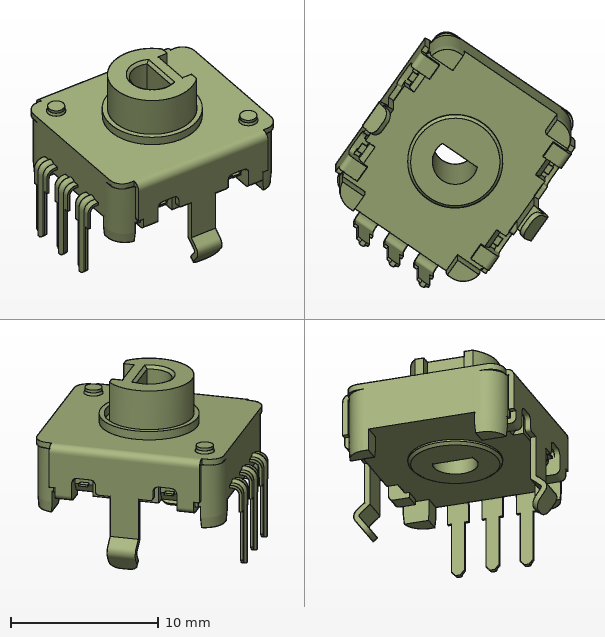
import cadquery as cq
import math


case_half_x = 5.71
case_half_y = 6.61
case_corner_radius = 1.5
case_bottom_z = -3.5
bottom_boss_radius = 3.23
bottom_boss_height = 0.33
bottom_boss_chamfer = 0.2

foot_inner_x = 3.83
foot_inner_y = 5.25
foot_taper_z = -4.3
foot_bottom_z = -5.05
foot_taper_inset = 0.05

plate_half_x = 5.63
plate_corner_radius = 1.0
plate_thickness = 0.43
sheet_thickness = 0.4
wall_outer_x = 6.21
wall_inner_x = wall_outer_x - sheet_thickness
wall_half_length = 5.32
wall_bend_radius = 0.54
wall_end_z = -3.02
wall_middle_z = -3.22
wall_corner_radius = 0.2

hook_outer_y = 4.9
hook_inner_y = 3.72
hook_bottom_z = case_bottom_z - sheet_thickness
hook_tip_x = 4.7
hook_bend_radius = 0.38
window_inner_y = 2.02
window_top_z = -2.17
window_radius = 0.43

pocket_inner_y = 2.32
pocket_back_x = 5.4
pocket_ramp_z = -2.86
pocket_ramp_depth = 0.37
nub_height = 0.14
nub_depth = wall_inner_x - pocket_back_x
nub_width = 0.63

leg_half_width = 1.0
leg_outward_slope = math.radians(40)
leg_inward_slope = math.radians(54)
leg_bend_radius = 0.57
leg_reach_x = 7.0
leg_bend_z = -7.07
leg_tip_z = -8.45
leg_tip_radius = 0.71

rivet_x = 4.12
rivet_y = 5.1
rivet_base_radius = 0.65
rivet_top_radius = 0.58
rivet_flare_height = 0.2
rivet_height = 0.4

collar_radius = 3.4
collar_height = 0.61
shaft_radius = 3.05
shaft_top_z = 3.43
shaft_flat_y = 2.22
slot_half_width = 1.47
slot_floor_y = 1.48
spigot_radius = 2.5
bore_radius = 1.55
bore_flat_y = 0.55
bore_chamfer = 0.21
bore_chamfer_angle = 45

pin_pitch = 2.5
pin_thickness = 0.2
pin_wide_width = 1.51
pin_narrow_width = 0.94
pin_shoulder_z = -4.59
pin_bottom_z = -8.52
pin_tip_height = 0.31
pin_tip_width = 0.37
pin_front_y = -7.48
pin_top_z = -2.71
pin_bend_radius = 0.65
pin_root_y = -6.27
rib_half_width = 0.3
rib_height = 0.15


def block(x_range, y_range, z_range):
    """Axis-aligned box between the given limits."""
    sizes = [high - low for low, high in (x_range, y_range, z_range)]
    corner = (x_range[0], y_range[0], z_range[0])
    return cq.Workplane("XY").box(*sizes, centered=False).translate(corner)


def disc(radius, bottom_z, top_z):
    return cq.Workplane("XY").workplane(offset=bottom_z).circle(radius).extrude(top_z - bottom_z)


def rounded_slab(half_x, half_y, radius, bottom_z, top_z):
    slab = block((-half_x, half_x), (-half_y, half_y), (bottom_z, top_z))
    return slab.edges("|Z").fillet(radius)


def with_mirror(solid, plane):
    return solid.union(solid.mirror(plane))


def make_foot():
    """Foot in the +X +Y corner, following the rounded case corner and drafted near its tip."""
    center_x = case_half_x - case_corner_radius
    center_y = case_half_y - case_corner_radius
    diagonal = math.sqrt(0.5)
    arc_middle = (
        center_x + case_corner_radius * diagonal,
        center_y + case_corner_radius * diagonal,
    )
    rise = foot_inner_y - center_y
    arc_end_x = center_x + math.sqrt(case_corner_radius ** 2 - rise ** 2)

    def outline(z):
        return (
            cq.Workplane("XY").workplane(offset=z)
            .moveTo(arc_end_x, foot_inner_y)
            .threePointArc(arc_middle, (center_x, case_half_y))
            .lineTo(foot_inner_x, case_half_y)
            .lineTo(foot_inner_x, foot_inner_y)
            .close()
        )

    tip_height = foot_taper_z - foot_bottom_z
    draft = math.degrees(math.atan(foot_taper_inset / tip_height))
    straight = outline(foot_taper_z).extrude(case_bottom_z - foot_taper_z)
    tip = outline(foot_taper_z).extrude(-tip_height, taper=draft)
    return straight.union(tip)


def make_case_pocket():
    """Pocket in the +X side with an undercut ramp and a small nub at the top of the ramp."""
    mouth_x = wall_inner_x
    ramp_end_x = pocket_back_x - pocket_ramp_depth
    width = hook_inner_y - pocket_inner_y
    pocket = (
        cq.Workplane("XZ", origin=(0, hook_inner_y, 0))
        .polyline([
            (mouth_x, window_top_z),
            (pocket_back_x, window_top_z),
            (pocket_back_x, pocket_ramp_z),
            (ramp_end_x, case_bottom_z),
            (mouth_x, case_bottom_z),
        ])
        .close()
        .extrude(width)
    )
    nub_center_y = (hook_inner_y + pocket_inner_y) / 2
    nub = block(
        (pocket_back_x, pocket_back_x + nub_depth),
        (nub_center_y - nub_width / 2, nub_center_y + nub_width / 2),
        (pocket_ramp_z, pocket_ramp_z + nub_height),
    )
    return pocket.cut(nub)


def make_case():
    body = rounded_slab(case_half_x, case_half_y, case_corner_radius, case_bottom_z, -plate_thickness)
    flat_half_length = case_half_y - case_corner_radius
    flats = block(
        (-wall_inner_x, wall_inner_x),
        (-flat_half_length, flat_half_length),
        (case_bottom_z, -plate_thickness),
    )
    boss = disc(bottom_boss_radius, case_bottom_z - bottom_boss_height, case_bottom_z)
    boss = boss.faces("<Z").chamfer(bottom_boss_chamfer)
    feet = with_mirror(with_mirror(make_foot(), "YZ"), "XZ")
    pockets = with_mirror(with_mirror(make_case_pocket(), "YZ"), "XZ")
    return body.union(flats).union(boss).union(feet).cut(pockets)


def make_cover_wall():
    """Side wall on +X, bent down from the plate, with its windows, raised ends and hooks."""
    bend = block(
        (plate_half_x - wall_bend_radius, wall_outer_x),
        (-wall_half_length, wall_half_length),
        (case_bottom_z, 0),
    )
    bend = bend.edges(">X and >Z").fillet(wall_bend_radius)
    hollow = block((0, wall_inner_x), (-case_half_y, case_half_y), (case_bottom_z, -plate_thickness))
    wall = bend.cut(hollow)

    across = (wall_inner_x, wall_outer_x)
    window = block(across, (window_inner_y, hook_inner_y), (hook_bottom_z, window_top_z))
    window = window.edges("|X and >Z").fillet(window_radius)
    raised_middle = block(across, (0, window_inner_y), (hook_bottom_z, wall_middle_z))
    raised_end = block(across, (hook_outer_y, wall_half_length), (hook_bottom_z, wall_end_z))
    openings = window.union(raised_middle).union(raised_end)
    wall = wall.cut(with_mirror(openings, "XZ"))
    for side in (-1, 1):
        corner = cq.selectors.NearestToPointSelector(
            (wall_outer_x - sheet_thickness / 2, side * window_inner_y, wall_middle_z)
        )
        wall = wall.edges(corner).fillet(wall_corner_radius)

    hook = block((hook_tip_x, wall_outer_x), (hook_inner_y, hook_outer_y), (hook_bottom_z, case_bottom_z))
    hook = hook.edges(">X and <Z").fillet(hook_bend_radius)
    return wall.union(with_mirror(hook, "XZ"))


def make_snap_leg():
    """Leg on +X: straight down, kicked outward, then turned back inward to a rounded tip."""
    bend_x = leg_reach_x - leg_bend_radius
    inner_radius = leg_bend_radius - sheet_thickness
    start_angle = math.pi / 2 - leg_outward_slope
    end_angle = leg_inward_slope - math.pi / 2

    def bend_point(radius, angle):
        return (bend_x + radius * math.cos(angle), leg_bend_z + radius * math.sin(angle))

    def kick_z(wall_x, radius):
        """Height at which the outward slope leaves the vertical face at wall_x."""
        x, z = bend_point(radius, start_angle)
        return z + (x - wall_x) * math.tan(leg_outward_slope)

    outer_end_x, outer_end_z = bend_point(leg_bend_radius, end_angle)
    tail_length = (outer_end_z - leg_tip_z) / math.sin(leg_inward_slope)

    def tip_point(radius):
        x, z = bend_point(radius, end_angle)
        return (
            x - tail_length * math.cos(leg_inward_slope),
            z - tail_length * math.sin(leg_inward_slope),
        )

    leg = (
        cq.Workplane("XZ", origin=(0, leg_half_width, 0))
        .moveTo(wall_outer_x, wall_middle_z)
        .lineTo(wall_outer_x, kick_z(wall_outer_x, leg_bend_radius))
        .lineTo(*bend_point(leg_bend_radius, start_angle))
        .threePointArc((leg_reach_x, leg_bend_z), (outer_end_x, outer_end_z))
        .lineTo(*tip_point(leg_bend_radius))
        .lineTo(*tip_point(inner_radius))
        .lineTo(*bend_point(inner_radius, end_angle))
        .threePointArc(bend_point(inner_radius, 0), bend_point(inner_radius, start_angle))
        .lineTo(wall_inner_x, kick_z(wall_inner_x, inner_radius))
        .lineTo(wall_inner_x, wall_middle_z)
        .close()
        .extrude(2 * leg_half_width)
    )
    return leg.faces("<Z").edges("<Y or >Y").fillet(leg_tip_radius)


def make_rivet():
    return (
        cq.Workplane("XZ")
        .polyline([
            (0, 0),
            (rivet_base_radius, 0),
            (rivet_top_radius, rivet_flare_height),
            (rivet_top_radius, rivet_height),
            (0, rivet_height),
        ])
        .close()
        .revolve(360, (0, 0), (0, 1))
        .translate((rivet_x, rivet_y, 0))
    )


def make_cover():
    plate = rounded_slab(plate_half_x, case_half_y, plate_corner_radius, -plate_thickness, 0)
    side = make_cover_wall().union(make_snap_leg())
    rivet = make_rivet()
    opposite_rivet = rivet.rotate((0, 0, 0), (0, 0, 1), 180)
    return plate.union(with_mirror(side, "YZ")).union(rivet).union(opposite_rivet)


def make_shaft():
    """Collar and flatted shaft, slotted down to a round spigot level with the collar."""
    full_width = (-collar_radius, collar_radius)
    collar = disc(collar_radius, 0, collar_height).cut(disc(shaft_radius, 0, collar_height))
    shaft = disc(shaft_radius, 0, shaft_top_z)
    flat = block(full_width, (shaft_flat_y, collar_radius), (0, shaft_top_z))
    slot = block((-slot_half_width, slot_half_width), (slot_floor_y, collar_radius), (0, shaft_top_z))
    spigot = disc(spigot_radius, 0, collar_height)
    return shaft.cut(flat).cut(slot).union(spigot).union(collar)


def make_bore():
    """D-shaped through bore, flat on +Y, flared at the top of the shaft."""
    bottom_z = case_bottom_z - bottom_boss_height

    def d_outline(radius, flat_y, z):
        flat_x = math.sqrt(radius ** 2 - flat_y ** 2)
        return (
            cq.Workplane("XY").workplane(offset=z)
            .moveTo(flat_x, flat_y)
            .threePointArc((0, -radius), (-flat_x, flat_y))
            .close()
        )

    bore = d_outline(bore_radius, bore_flat_y, bottom_z).extrude(shaft_top_z - bottom_z)
    flare = d_outline(bore_radius + bore_chamfer, bore_flat_y + bore_chamfer, shaft_top_z)
    return bore.union(flare.extrude(-bore_chamfer, taper=bore_chamfer_angle))


def make_pin():
    """Pin at X = 0: flat strip leaving the case, bent down, with a rounded rib along its outer face."""
    bend_y = pin_front_y + pin_bend_radius
    bend_z = pin_top_z - pin_bend_radius
    inner_radius = pin_bend_radius - pin_thickness
    diagonal = math.sqrt(0.5)

    def strip(width, bottom_z):
        return (
            cq.Workplane("YZ", origin=(-width / 2, 0, 0))
            .moveTo(pin_root_y, pin_top_z)
            .lineTo(bend_y, pin_top_z)
            .threePointArc(
                (bend_y - pin_bend_radius * diagonal, bend_z + pin_bend_radius * diagonal),
                (pin_front_y, bend_z),
            )
            .lineTo(pin_front_y, bottom_z)
            .lineTo(pin_front_y + pin_thickness, bottom_z)
            .lineTo(pin_front_y + pin_thickness, bend_z)
            .threePointArc(
                (bend_y - inner_radius * diagonal, bend_z + inner_radius * diagonal),
                (bend_y, pin_top_z - pin_thickness),
            )
            .lineTo(pin_root_y, pin_top_z - pin_thickness)
            .close()
            .extrude(width)
        )

    rib_path = (
        cq.Workplane("YZ")
        .moveTo(pin_root_y, pin_top_z)
        .lineTo(bend_y, pin_top_z)
        .threePointArc(
            (bend_y - pin_bend_radius * diagonal, bend_z + pin_bend_radius * diagonal),
            (pin_front_y, bend_z),
        )
        .lineTo(pin_front_y, pin_bottom_z)
    )
    rib_root_z = pin_top_z - pin_thickness / 2
    rib = (
        cq.Workplane("XZ", origin=(0, pin_root_y, 0))
        .moveTo(-rib_half_width, rib_root_z)
        .lineTo(-rib_half_width, pin_top_z)
        .threePointArc((0, pin_top_z + rib_height), (rib_half_width, pin_top_z))
        .lineTo(rib_half_width, rib_root_z)
        .close()
        .sweep(rib_path)
    )
    pin = strip(pin_wide_width, pin_shoulder_z).union(strip(pin_narrow_width, pin_bottom_z)).union(rib)

    tip_corner = (
        cq.Workplane("XZ", origin=(0, pin_root_y, 0))
        .polyline([
            (pin_tip_width / 2, pin_bottom_z),
            (pin_narrow_width / 2, pin_bottom_z),
            (pin_narrow_width / 2, pin_bottom_z + pin_tip_height),
        ])
        .close()
        .extrude(pin_root_y - pin_front_y + rib_height)
    )
    return pin.cut(with_mirror(tip_corner, "YZ"))


result = make_case().union(make_cover()).union(make_shaft()).cut(make_bore())
for position in (-1, 0, 1):
    result = result.union(make_pin().translate((position * pin_pitch, 0, 0)))